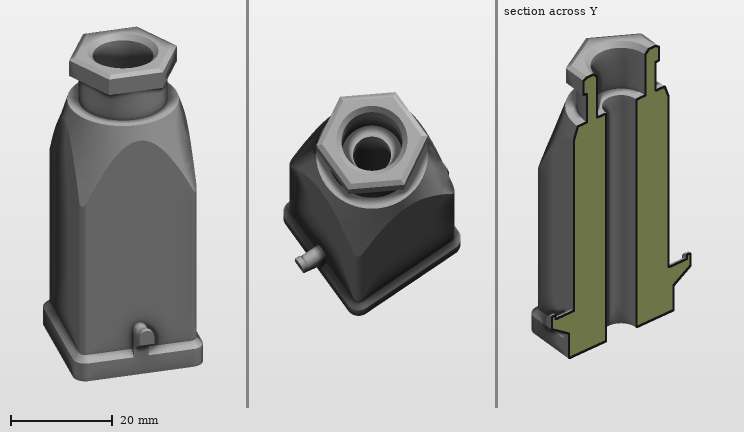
import cadquery as cq
import math

body_width = 24.0
body_top = 55.0
body_corner_radius = 1.25
rim_width = 26.5
rim_step = (rim_width - body_width) / 2
rim_corner_radius = body_corner_radius + rim_step
rim_height = 4.0
rim_top = rim_height + rim_step
shoulder_diameter = 22.0
shoulder_slope = 3.0

neck_diameter = 17.5
hex_across_corners = 22.0
hex_bottom = 61.8
gland_top = 65.8
hex_bevel_width = 1.0
hex_bevel_height = 0.5

bore_diameter = 12.0
bore_chamfer = 1.0
cable_hole_diameter = 7.5

lug_reach = 17.5
lug_width = 3.0
lug_radius = lug_width / 2
lug_pin_axis = 9.5
lug_flange_thickness = 1.0
lug_flange_top = 12.0
lug_tip_bottom = 8.9
lug_foot_top = 6.0


def revolve_about_z(profile):
    """Solid of revolution from a list of (radius, height) points."""
    return cq.Workplane("XZ").polyline(profile).close().revolve(360, (0, 0), (0, 1))


def rounded_square(width, corner_radius, height):
    """Square prism standing on Z = 0 with rounded vertical edges."""
    block = cq.Workplane("XY").rect(width, width).extrude(height)
    return block.edges("|Z").fillet(corner_radius)


def shoulder_envelope():
    """Cone frustum that trims the top of the body, wider than its corners at the bottom."""
    top_radius = shoulder_diameter / 2
    bottom_radius = top_radius + body_top / shoulder_slope
    profile = [(0, 0), (bottom_radius, 0), (top_radius, body_top), (0, body_top)]
    return revolve_about_z(profile)


def make_hood():
    rim = rounded_square(rim_width, rim_corner_radius, rim_top)
    rim = rim.faces(">Z").edges().chamfer(rim_step)
    body = rounded_square(body_width, body_corner_radius, body_top)
    return rim.union(body.intersect(shoulder_envelope()))


def hexagon(level, across_corners):
    """Hexagon sketch with two corners on the Y axis."""
    plane = cq.Workplane("XY", origin=(0, 0, level)).transformed(rotate=(0, 0, 90))
    return plane.polygon(6, across_corners)


def make_gland():
    neck = cq.Workplane("XY", origin=(0, 0, body_top)).circle(neck_diameter / 2)
    neck = neck.extrude(hex_bottom - body_top)
    straight_top = gland_top - hex_bevel_height
    head = hexagon(hex_bottom, hex_across_corners).extrude(straight_top - hex_bottom)
    bevel_angle = math.degrees(math.atan2(hex_bevel_width, hex_bevel_height))
    bevel = hexagon(straight_top, hex_across_corners).extrude(hex_bevel_height, taper=bevel_angle)
    return neck.union(head).union(bevel)


def round_topped_bar(x_start, x_end, arc_center):
    """Bar along X, flat-sided up to arc_center and half-round above it."""
    return (
        cq.Workplane("YZ", origin=(x_start, 0, 0))
        .moveTo(-lug_radius, lug_tip_bottom)
        .lineTo(lug_radius, lug_tip_bottom)
        .lineTo(lug_radius, arc_center)
        .threePointArc((0, arc_center + lug_radius), (-lug_radius, arc_center))
        .close()
        .extrude(x_end - x_start)
    )


def make_lug():
    """Lug on the +X side: pin with an end flange, carried by a sloping web."""
    wall = body_width / 2 - rim_step
    rim_face = rim_width / 2
    flange_inner = lug_reach - lug_flange_thickness
    web = (
        cq.Workplane("XZ")
        .polyline([
            (wall, 0),
            (rim_face, 0),
            (rim_face, lug_foot_top),
            (lug_reach, lug_tip_bottom),
            (lug_reach, lug_pin_axis),
            (wall, lug_pin_axis),
        ])
        .close()
        .extrude(lug_radius, both=True)
    )
    pin = round_topped_bar(wall, flange_inner, lug_pin_axis)
    flange = round_topped_bar(flange_inner, lug_reach, lug_flange_top - lug_radius)
    return web.union(pin).union(flange)


def make_bore():
    """Cable hole through the part, widened from the body top upward and chamfered at the mouth."""
    hole_radius = cable_hole_diameter / 2
    bore_radius = bore_diameter / 2
    profile = [
        (0, 0),
        (hole_radius, 0),
        (hole_radius, body_top),
        (bore_radius, body_top),
        (bore_radius, gland_top - bore_chamfer),
        (bore_radius + bore_chamfer, gland_top),
        (0, gland_top),
    ]
    return revolve_about_z(profile)


lug = make_lug()
solid_part = make_hood().union(make_gland()).union(lug).union(lug.mirror("YZ"))
result = solid_part.cut(make_bore())